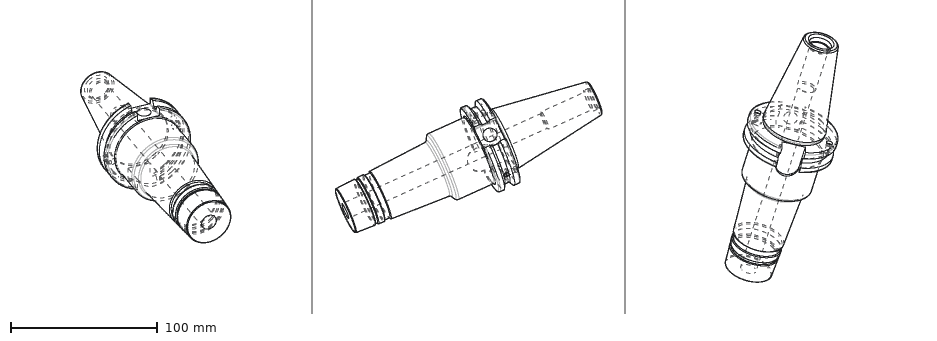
import cadquery as cq
import math

LENGTH = 188.2

TAPER_END = 68.1
TAPER_RADIUS = 22.2
TAPER_SLOPE = 7 / 48
SHANK_CHAMFER = 1.0
NECK_START = 69.8
NECK_RADIUS = 21.8

FLANGE_START = 71.0
FLANGE_END = 87.2
FLANGE_RADIUS = 31.6
FLANGE_FILLET = 1.04
GROOVE_CENTER = 79.3
GROOVE_RADIUS = 28.2
GROOVE_FLOOR_WIDTH = 3.8
GROOVE_HALF_ANGLE = math.radians(30)

BODY_DIAMETER = 49.5
BODY_RADIUS = BODY_DIAMETER / 2
BODY_ROOT_FILLET = 0.8
SHOULDER_START = 115.4
SHOULDER_END = 118.0
SHOULDER_ANGLE = math.radians(60)
SHOULDER_FILLET = 1.9

NOSE_ANGLE = math.radians(3)
NOSE_CHAMFER = 0.5
RING_GROOVES = [(161.9, 166.8, 16.8), (171.1, 173.8, 16.5)]
GROOVE_WALL = 0.5

COUNTERSINK_RADIUS = 9.0
COUNTERSINK_DEPTH = 1.9
COUNTERBORE_RADIUS = 7.7
COUNTERBORE_DEPTH = 5.0
SOCKET_DIAMETER = 13.0
SOCKET_RADIUS = SOCKET_DIAMETER / 2
SOCKET_DEPTH = 37.6
SOCKET_BOTTOM_LENGTH = 1.0
BORE_RADIUS = 5.5

SLOT_WIDTH = 16.4
TOP_SLOT_FILLET = 0.4
TOP_SLOT_FLOOR = 25.5
BOTTOM_SLOT_FLOOR = 22.4
BOTTOM_SLOT_END = 95.5
DIMPLE_DIAMETER = 9.6
DIMPLE_ANGLE = math.radians(118)

COOLANT_ANGLE = 20.0
COOLANT_CIRCLE_RADIUS = 27.0
COOLANT_DIAMETER = 3.2
FACE_HOLE_DIAMETER = 4.1
FACE_HOLE_DEPTH = 1.9
GROOVE_HOLE_DIAMETER = 4.0
GROOVE_HOLE_DEPTH = 0.8
COOLANT_DEPTH = 5.6


def nose_radius(x):
    shoulder_drop = (SHOULDER_END - SHOULDER_START) * math.tan(SHOULDER_ANGLE)
    return BODY_RADIUS - shoulder_drop - (x - SHOULDER_END) * math.tan(NOSE_ANGLE)


def outer_profile():
    """Half outline as (x, radius) points, from the small end to the nose."""
    small_radius = TAPER_RADIUS - TAPER_END * TAPER_SLOPE
    floor_half = GROOVE_FLOOR_WIDTH / 2
    mouth_half = floor_half + (FLANGE_RADIUS - GROOVE_RADIUS) * math.tan(GROOVE_HALF_ANGLE)
    points = [
        (0, 0),
        (0, small_radius - SHANK_CHAMFER),
        (SHANK_CHAMFER, small_radius + SHANK_CHAMFER * TAPER_SLOPE),
        (TAPER_END, TAPER_RADIUS),
        (NECK_START, NECK_RADIUS),
        (FLANGE_START, NECK_RADIUS),
        (FLANGE_START, FLANGE_RADIUS),
        (GROOVE_CENTER - mouth_half, FLANGE_RADIUS),
        (GROOVE_CENTER - floor_half, GROOVE_RADIUS),
        (GROOVE_CENTER + floor_half, GROOVE_RADIUS),
        (GROOVE_CENTER + mouth_half, FLANGE_RADIUS),
        (FLANGE_END, FLANGE_RADIUS),
        (FLANGE_END, BODY_RADIUS),
        (SHOULDER_START, BODY_RADIUS),
        (SHOULDER_END, nose_radius(SHOULDER_END)),
    ]
    for start, end, radius in RING_GROOVES:
        points += [
            (start, nose_radius(start)),
            (start + GROOVE_WALL, radius),
            (end - GROOVE_WALL, radius),
            (end, nose_radius(end)),
        ]
    points += [
        (LENGTH - NOSE_CHAMFER, nose_radius(LENGTH - NOSE_CHAMFER)),
        (LENGTH, nose_radius(LENGTH) - NOSE_CHAMFER),
        (LENGTH, 0),
    ]
    return points


def revolved(points):
    return cq.Workplane("XY").polyline(points).close().revolve(360, (0, 0, 0), (1, 0, 0))


def fillet_ring(body, x, radius, fillet):
    """Round the circular edge of the given radius at position x."""
    margin = 0.2
    reach = radius + margin
    box = cq.selectors.BoxSelector(
        (x - margin, -reach, -reach), (x + margin, reach, reach), boundingbox=True
    )
    ring = body.edges(box).edges(cq.selectors.RadiusNthSelector(-1))
    return ring.fillet(fillet)


def turned_body():
    body = revolved(outer_profile())
    body = fillet_ring(body, SHOULDER_END, nose_radius(SHOULDER_END), SHOULDER_FILLET)
    body = fillet_ring(body, SHOULDER_START, BODY_RADIUS, SHOULDER_FILLET)
    for x in (FLANGE_START, FLANGE_END):
        body = fillet_ring(body, x, FLANGE_RADIUS, FLANGE_FILLET)
    return fillet_ring(body, FLANGE_END, BODY_RADIUS, BODY_ROOT_FILLET)


def bore():
    return revolved([
        (0, 0),
        (0, COUNTERSINK_RADIUS),
        (COUNTERSINK_DEPTH, COUNTERBORE_RADIUS),
        (COUNTERBORE_DEPTH, COUNTERBORE_RADIUS),
        (COUNTERBORE_DEPTH, SOCKET_RADIUS),
        (SOCKET_DEPTH, SOCKET_RADIUS),
        (SOCKET_DEPTH + SOCKET_BOTTOM_LENGTH, BORE_RADIUS),
        (LENGTH, BORE_RADIUS),
        (LENGTH, 0),
    ])


def top_slot():
    """Square slot across the flange, with a conical dimple in its floor."""
    slot = cq.Workplane("XY").box(
        FLANGE_END + BODY_ROOT_FILLET - FLANGE_START, SLOT_WIDTH, FLANGE_RADIUS,
        centered=(False, True, False),
    ).translate((FLANGE_START, 0, TOP_SLOT_FLOOR))
    slot = slot.faces("<Z").edges("|X").fillet(TOP_SLOT_FILLET)
    dimple_radius = DIMPLE_DIAMETER / 2
    dimple_depth = dimple_radius / math.tan(DIMPLE_ANGLE / 2)
    dimple = cq.Solid.makeCone(
        dimple_radius, 0, dimple_depth,
        pnt=cq.Vector(GROOVE_CENTER, 0, TOP_SLOT_FLOOR), dir=cq.Vector(0, 0, -1),
    )
    return slot.union(cq.Workplane(dimple))


def bottom_slot():
    """Deeper slot that runs into the body and stops in a half-round end."""
    end_center = BOTTOM_SLOT_END - SLOT_WIDTH / 2
    plane = cq.Workplane("XY", origin=(0, 0, -BOTTOM_SLOT_FLOOR))
    straight = plane.center((FLANGE_START + end_center) / 2, 0)
    straight = straight.rect(end_center - FLANGE_START, SLOT_WIDTH).extrude(-FLANGE_RADIUS)
    round_end = plane.center(end_center, 0).circle(SLOT_WIDTH / 2).extrude(-FLANGE_RADIUS)
    return straight.union(round_end)


def coolant_holes():
    """Stepped face hole that meets a radial hole from the groove floor, drawn on +Y."""
    def drill(start, direction, diameter, depth):
        return cq.Workplane(cq.Solid.makeCylinder(
            diameter / 2, depth, pnt=cq.Vector(*start), dir=cq.Vector(*direction)
        ))

    face = (FLANGE_START, COOLANT_CIRCLE_RADIUS, 0)
    rim = (GROOVE_CENTER, FLANGE_RADIUS, 0)
    floor_depth = FLANGE_RADIUS - GROOVE_RADIUS
    holes = drill(face, (1, 0, 0), FACE_HOLE_DIAMETER, FACE_HOLE_DEPTH)
    holes = holes.union(drill(face, (1, 0, 0), COOLANT_DIAMETER, GROOVE_CENTER - FLANGE_START))
    holes = holes.union(drill(rim, (0, -1, 0), COOLANT_DIAMETER, floor_depth + COOLANT_DEPTH))
    return holes.union(drill(rim, (0, -1, 0), GROOVE_HOLE_DIAMETER, floor_depth + GROOVE_HOLE_DEPTH))


result = turned_body().cut(bore()).cut(top_slot()).cut(bottom_slot())
for angle in (COOLANT_ANGLE, COOLANT_ANGLE + 180):
    result = result.cut(coolant_holes().rotate((0, 0, 0), (1, 0, 0), angle))